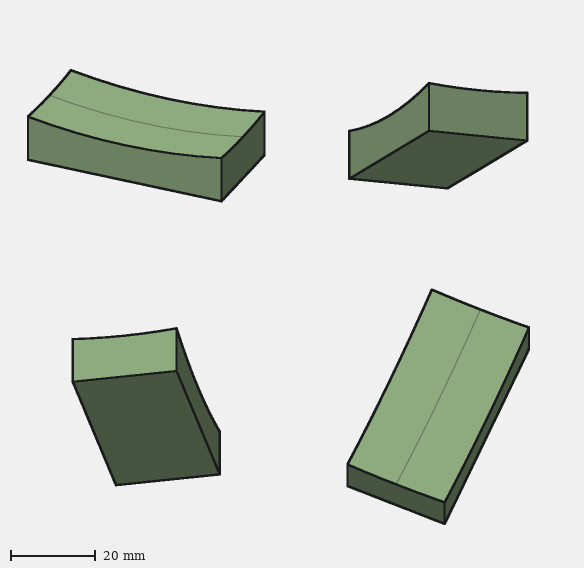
import cadquery as cq

length = 50.0
width = 25.0
center_thickness = 9.0
dish_radius = 150.0
blank_height = 15.0


def make_blank():
    """Rectangular block standing on Z = 0, centred in X and Y."""
    return cq.Workplane("XY").box(length, width, blank_height, centered=(True, True, False))


def make_dish_sphere():
    """Sphere whose lowest point touches the centre thickness.

    Its poles are turned onto the X direction, so the seam of the surface
    runs lengthwise along the bottom of the dish.
    """
    sphere = cq.Workplane("XY").sphere(dish_radius)
    sphere = sphere.rotate((0, 0, 0), (0, 1, 0), 90)
    return sphere.translate((0, 0, center_thickness + dish_radius))


result = make_blank().cut(make_dish_sphere(), clean=False)